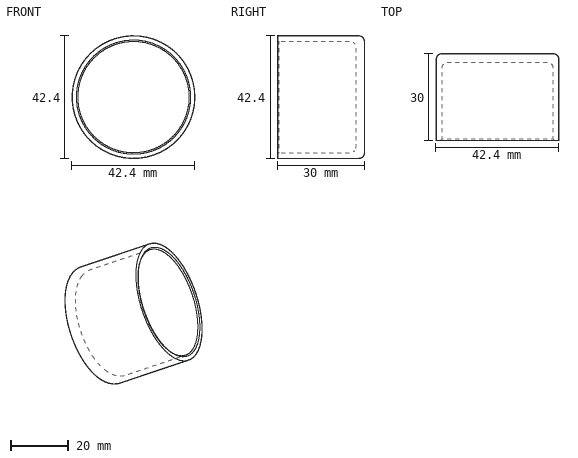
import cadquery as cq

outer_diameter = 42.4
length = 30.0
bore_diameter = 38.4
end_thickness = 3.0
corner_round = 2.0
mouth_chamfer = 0.5

bore_depth = length - end_thickness


def rounded_plug(diameter, height):
    """Cylinder along Y from Y = 0 toward +Y, with its far edge rounded."""
    plug = cq.Workplane("XZ").circle(diameter / 2).extrude(-height)
    return plug.faces(">Y").edges().fillet(corner_round)


body = rounded_plug(outer_diameter, length)
bore = rounded_plug(bore_diameter, bore_depth)
cup = body.cut(bore)

mouth_edge = cup.faces("<Y").edges(cq.selectors.RadiusNthSelector(0))
result = mouth_edge.chamfer(mouth_chamfer)